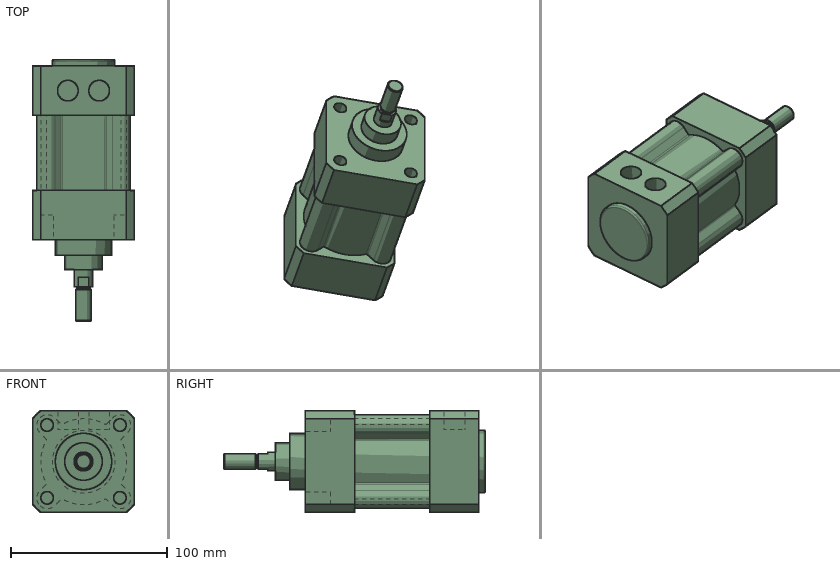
import cadquery as cq
import math


head_width = 65.0
head_length = 31.5
head_corner_diameter = 85.0

bolt_spacing = 46.5
mounting_hole_diameter = 8.0
mounting_hole_depth = 16.0

collar_diameter = 36.0
collar_length = 10.0
nose_diameter = 24.0
nose_length = 9.0

port_diameter = 13.2
port_depth = 12.0
port_spacing = 20.0
spigot_diameter = 40.0
spigot_length = 4.0
spigot_fillet = 1.0

barrel_length = 48.0
barrel_diameter = 55.0
barrel_overall_width = 60.0
rib_center = bolt_spacing / 2
rib_radius = barrel_overall_width / 2 - rib_center
rib_root_fillet = 1.0

rod_diameter = 12.0
rod_length = 11.0
flat_width = 10.0
flat_length = 6.0
relief_diameter = 8.5
relief_length = 1.0
relief_cone_length = 1.0
thread_diameter = 10.0
thread_length = 20.0
thread_chamfer = 0.5

barrel_front_y = head_length
barrel_back_y = barrel_front_y + barrel_length
rear_face_y = barrel_back_y + head_length
nose_front_y = -collar_length - nose_length
rod_shoulder_y = nose_front_y - rod_length
relief_start_y = rod_shoulder_y - relief_length
thread_start_y = relief_start_y - relief_cone_length


def section_at(y):
    """Workplane across the axis at y, with its normal toward +Y and local y toward -Z."""
    return cq.Workplane("XZ", origin=(0, y, 0)).transformed(rotate=(180, 0, 0))


def cylinder(start_y, length, diameter):
    return section_at(start_y).circle(diameter / 2).extrude(length)


def head_block(start_y):
    block = section_at(start_y).rect(head_width, head_width).extrude(head_length)
    return block.intersect(cylinder(start_y, head_length, head_corner_diameter))


def make_front_head():
    head = head_block(0)
    head = head.union(cylinder(-collar_length, collar_length, collar_diameter))
    head = head.union(cylinder(nose_front_y, nose_length, nose_diameter))
    holes = (
        section_at(0)
        .rect(bolt_spacing, bolt_spacing, forConstruction=True)
        .vertices()
        .circle(mounting_hole_diameter / 2)
        .extrude(mounting_hole_depth)
    )
    return head.cut(holes)


def make_rear_head():
    spigot = cylinder(rear_face_y, spigot_length, spigot_diameter)
    spigot = spigot.faces(">Y").fillet(spigot_fillet)
    ports = (
        cq.Workplane("XY", origin=(0, barrel_back_y + head_length / 2, head_width / 2))
        .pushPoints([(-port_spacing / 2, 0), (port_spacing / 2, 0)])
        .circle(port_diameter / 2)
        .extrude(-port_depth)
    )
    return head_block(barrel_back_y).union(spigot).cut(ports)


def make_barrel():
    barrel = cylinder(barrel_front_y, barrel_length, barrel_diameter)
    slot_length = 2 * (rib_center * math.sqrt(2) + rib_radius)
    for angle in (45, 135):
        ribs = section_at(barrel_front_y).slot2D(slot_length, 2 * rib_radius, angle).extrude(barrel_length)
        barrel = barrel.union(ribs)

    root_distance = math.sqrt((barrel_diameter / 2) ** 2 - rib_radius**2)
    near = (root_distance - rib_radius) / math.sqrt(2)
    far = (root_distance + rib_radius) / math.sqrt(2)
    roots = [
        (sx * x, barrel_front_y + barrel_length / 2, sz * z)
        for x, z in ((near, far), (far, near))
        for sx in (-1, 1)
        for sz in (-1, 1)
    ]
    for root in roots:
        barrel = barrel.edges("|Y").edges(cq.selectors.NearestToPointSelector(root)).fillet(rib_root_fillet)
    return barrel


def make_rod():
    rod = cylinder(rod_shoulder_y, rod_length, rod_diameter)
    flats = (
        section_at(rod_shoulder_y)
        .rect(rod_diameter, rod_diameter)
        .rect(rod_diameter, flat_width)
        .extrude(flat_length)
    )
    rod = rod.cut(flats)
    rod = rod.union(cylinder(relief_start_y, relief_length, relief_diameter))
    relief_cone = (
        section_at(thread_start_y)
        .circle(thread_diameter / 2)
        .workplane(offset=relief_cone_length)
        .circle(relief_diameter / 2)
        .loft(ruled=True)
    )
    rod = rod.union(relief_cone)
    thread = cylinder(thread_start_y - thread_length, thread_length, thread_diameter)
    return rod.union(thread.faces("<Y").chamfer(thread_chamfer))


front_head = make_front_head()
rear_head = make_rear_head()
barrel = make_barrel()
rod = make_rod()

result = cq.Compound.makeCompound([front_head.val(), rear_head.val(), barrel.val(), rod.val()])